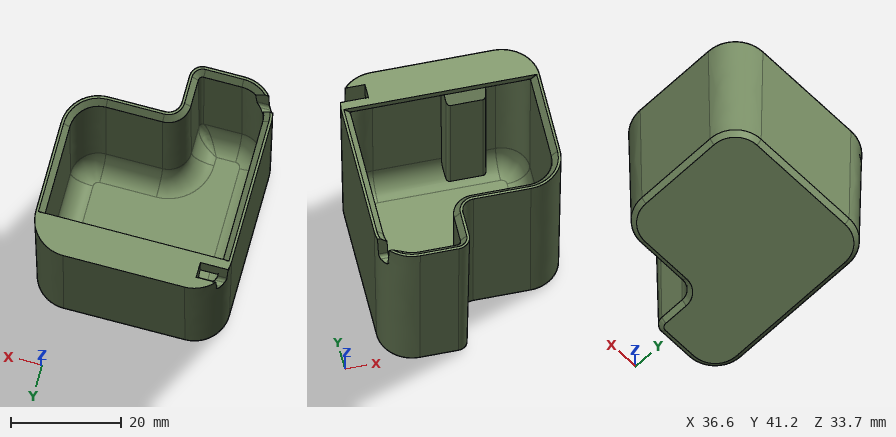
import cadquery as cq
import math

width = 36.6
depth = 41.2
height = 33.7
leg_width = 16.55
notch_depth = 10.1
corner_radius = 6.95
leg_corner_radius = 2.47
notch_radius = 2.47
outer_lean = 0.45
base_chamfer = 1.0

wall = 1.65
floor_thickness = 1.0
floor_fillet = 4.2
cavity_lean = 0.15
rim_width = 0.5
rim_chamfer = wall - rim_width
rim_chamfer_angle = 45

shelf_edge_y = 34.3
shelf_drop = 7.95

pad_left = 19.45
pad_right = 27.95
pad_front = 36.75
pad_flank = 0.65
pad_edge_fillet = 0.7
pad_top = height - 8.5
pad_slope = 1.1

slot_center_inset = 3.8
slot_top_width = 2.9
slot_bottom_width = 2.22
slot_depth = 5.0
slot_end_x = 5.4
slot_fillet = 0.7


def outline_sketch(inset):
    """L-shaped outline moved inward by inset."""
    left = inset
    front = inset
    right = width - inset
    back = depth - inset
    leg_right = leg_width - inset
    notch_y = notch_depth + inset
    radius = corner_radius - inset
    leg_radius = leg_corner_radius - inset
    inner_radius = notch_radius + inset
    diagonal = 1 - math.sqrt(0.5)

    return (
        cq.Workplane("XY")
        .moveTo(left + radius, front)
        .lineTo(leg_right - leg_radius, front)
        .threePointArc(
            (leg_right - leg_radius * diagonal, front + leg_radius * diagonal),
            (leg_right, front + leg_radius),
        )
        .lineTo(leg_right, notch_y - inner_radius)
        .threePointArc(
            (leg_right + inner_radius * diagonal, notch_y - inner_radius * diagonal),
            (leg_right + inner_radius, notch_y),
        )
        .lineTo(right - radius, notch_y)
        .threePointArc(
            (right - radius * diagonal, notch_y + radius * diagonal),
            (right, notch_y + radius),
        )
        .lineTo(right, back - radius)
        .threePointArc(
            (right - radius * diagonal, back - radius * diagonal),
            (right - radius, back),
        )
        .lineTo(left + radius, back)
        .threePointArc(
            (left + radius * diagonal, back - radius * diagonal),
            (left, back - radius),
        )
        .lineTo(left, front + radius)
        .threePointArc(
            (left + radius * diagonal, front + radius * diagonal),
            (left + radius, front),
        )
        .close()
    )


def drafted_prism(inset, length, lean):
    """Solid hanging down from the top plane, with walls leaning inward as they go down."""
    draft_angle = math.degrees(math.atan(lean / height))
    upward = outline_sketch(inset).extrude(length, taper=draft_angle)
    return upward.mirror("XY").translate((0, 0, height))


def make_body():
    return drafted_prism(0, height, outer_lean).faces("<Z").chamfer(base_chamfer)


def make_cavity():
    cavity_depth = height - floor_thickness
    prism = drafted_prism(wall, cavity_depth, cavity_lean)
    return prism.faces("<Z").edges().fillet(floor_fillet)


def make_rim_chamfer():
    upper = outline_sketch(rim_width)
    flare = upper.extrude(rim_chamfer, taper=rim_chamfer_angle)
    return flare.mirror("XY").translate((0, 0, height))


def make_shelf():
    """Space filled by the shelf: a vertical front edge and a sloped underside."""
    return (
        cq.Workplane("YZ")
        .moveTo(shelf_edge_y, height)
        .lineTo(shelf_edge_y, height - rim_chamfer)
        .lineTo(depth - wall, height - shelf_drop)
        .lineTo(depth, height - shelf_drop)
        .lineTo(depth, height)
        .close()
        .extrude(width)
    )


def make_pad():
    """Space filled by the pad: a trapezoid in plan with a sloped top."""
    back = depth - wall / 2
    plan = (
        cq.Workplane("XY")
        .moveTo(pad_left, back)
        .lineTo(pad_left + pad_flank, pad_front)
        .lineTo(pad_right - pad_flank, pad_front)
        .lineTo(pad_right, back)
        .close()
        .extrude(height)
        .faces("<Y")
        .edges("|Z")
        .fillet(pad_edge_fillet)
    )
    side = (
        cq.Workplane("YZ")
        .moveTo(pad_front, 0)
        .lineTo(pad_front, pad_top)
        .lineTo(back, pad_top + pad_slope * (back - pad_front))
        .lineTo(back, 0)
        .close()
        .extrude(width)
    )
    return plan.intersect(side)


def make_slot(center_y):
    return (
        cq.Workplane("YZ")
        .moveTo(center_y - slot_top_width / 2, height)
        .lineTo(center_y - slot_bottom_width / 2, height - slot_depth)
        .lineTo(center_y + slot_bottom_width / 2, height - slot_depth)
        .lineTo(center_y + slot_top_width / 2, height)
        .close()
        .extrude(slot_end_x)
        .faces("<Z")
        .edges("|X")
        .fillet(slot_fillet)
    )


opening = make_cavity().union(make_rim_chamfer()).cut(make_shelf()).cut(make_pad())
result = make_body().cut(opening)
for slot_y in (slot_center_inset, depth - slot_center_inset):
    result = result.cut(make_slot(slot_y))